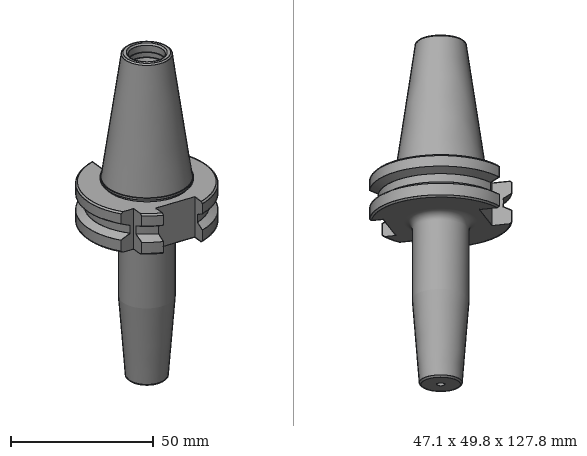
import cadquery as cq
import math

total_length = 127.8
gauge_z = 80.0
flange_top_z = 76.8
flange_bottom_z = 60.8
shank_bottom_z = 31.8

taper_slope = 7 / 24 / 2
gauge_radius = 15.8
taper_bottom_z = 78.7
taper_top_radius = gauge_radius - taper_slope * (total_length - gauge_z)
taper_bottom_radius = gauge_radius + taper_slope * (gauge_z - taper_bottom_z)
taper_top_chamfer = 0.5

collar_radius = 16.4
neck_radius = 15.3
neck_top_z = 78.0

flange_radius = 24.9
flange_chamfer = 0.6
groove_radius = 22.0
groove_middle_z = 69.0
groove_floor_width = 3.1
groove_wall_height = (flange_radius - groove_radius) * math.tan(math.radians(30))
groove_floor_top_z = groove_middle_z + groove_floor_width / 2
groove_floor_bottom_z = groove_middle_z - groove_floor_width / 2

shank_radius = 10.0
shank_fillet = 3.0
nose_tip_radius = 7.5
nose_chamfer = 0.6

key_slot_width = 16.1
left_slot_floor_x = -16.4
right_slot_floor_x = 18.7
corner_notch_inset = 14.8

bore_mouth_radius = 7.2
bore_radius = 6.5
bore_depth = 5.5
relief_radius = 6.9
relief_width = 2.0
seat_radius = 5.2
seat_depth = 2.2
pilot_radius = 4.6
pilot_depth = 24.0
drill_tip_angle = 118
through_radius = 1.4


def make_body():
    """Revolve the solid outer profile about the Z axis."""
    fillet_middle_offset = shank_fillet * (1 - math.sqrt(0.5))
    profile = (
        cq.Workplane("XZ")
        .moveTo(0, 0)
        .lineTo(nose_tip_radius - nose_chamfer, 0)
        .lineTo(nose_tip_radius, nose_chamfer)
        .lineTo(shank_radius, shank_bottom_z)
        .lineTo(shank_radius, flange_bottom_z - shank_fillet)
        .threePointArc(
            (shank_radius + fillet_middle_offset, flange_bottom_z - fillet_middle_offset),
            (shank_radius + shank_fillet, flange_bottom_z),
        )
        .lineTo(flange_radius - flange_chamfer, flange_bottom_z)
        .lineTo(flange_radius, flange_bottom_z + flange_chamfer)
        .lineTo(flange_radius, groove_floor_bottom_z - groove_wall_height)
        .lineTo(groove_radius, groove_floor_bottom_z)
        .lineTo(groove_radius, groove_floor_top_z)
        .lineTo(flange_radius, groove_floor_top_z + groove_wall_height)
        .lineTo(flange_radius, flange_top_z - flange_chamfer)
        .lineTo(flange_radius - flange_chamfer, flange_top_z)
        .lineTo(neck_radius, flange_top_z)
        .lineTo(neck_radius, neck_top_z)
        .lineTo(collar_radius, neck_top_z)
        .lineTo(collar_radius, taper_bottom_z)
        .lineTo(taper_bottom_radius, taper_bottom_z)
        .lineTo(taper_top_radius + taper_slope * taper_top_chamfer, total_length - taper_top_chamfer)
        .lineTo(taper_top_radius - taper_top_chamfer, total_length)
        .lineTo(0, total_length)
        .close()
    )
    return profile.revolve(360, (0, 0, 0), (0, 1, 0))


def make_bore():
    """Revolve the stepped bore and the hole running through the whole part."""
    mouth_chamfer = bore_mouth_radius - bore_radius
    bore_floor_z = total_length - bore_depth
    pilot_floor_z = total_length - pilot_depth
    drill_tip_height = (pilot_radius - through_radius) / math.tan(math.radians(drill_tip_angle / 2))
    profile = (
        cq.Workplane("XZ")
        .moveTo(0, 0)
        .lineTo(through_radius, 0)
        .lineTo(through_radius, pilot_floor_z - drill_tip_height)
        .lineTo(pilot_radius, pilot_floor_z)
        .lineTo(pilot_radius, bore_floor_z - seat_depth)
        .lineTo(seat_radius, bore_floor_z - seat_depth)
        .lineTo(bore_radius, bore_floor_z)
        .lineTo(relief_radius, bore_floor_z)
        .lineTo(relief_radius, bore_floor_z + relief_width)
        .lineTo(bore_radius, bore_floor_z + relief_width)
        .lineTo(bore_radius, total_length - mouth_chamfer)
        .lineTo(bore_mouth_radius, total_length)
        .lineTo(0, total_length)
        .close()
    )
    return profile.revolve(360, (0, 0, 0), (0, 1, 0))


def flange_cutter(x_start, x_end, y_start, y_end):
    """Rectangular block spanning the full flange thickness."""
    return cq.Workplane("XY").box(
        x_end - x_start, y_end - y_start, flange_top_z - flange_bottom_z, centered=False
    ).translate((x_start, y_start, flange_bottom_z))


half_slot = key_slot_width / 2
left_slot = flange_cutter(-flange_radius, left_slot_floor_x, -half_slot, half_slot)
right_slot = flange_cutter(right_slot_floor_x, flange_radius, -half_slot, half_slot)
corner_notch = flange_cutter(corner_notch_inset, flange_radius, -flange_radius, -corner_notch_inset)

result = make_body().cut(make_bore())
for cutter in (left_slot, right_slot, corner_notch):
    result = result.cut(cutter)